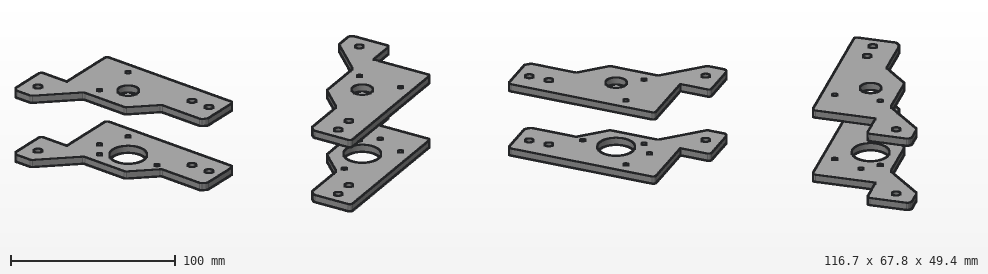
import cadquery as cq

LENGTH = 116.7
WIDTH = 67.8
HEIGHT = 49.4
THICKNESS = 5.0

FOOT_TOP = 27.8
BODY_LEFT = 19.8
FOOT_BOTTOM_END = 13.7
BELLY = 22.9
BELLY_END = 68.2
ARM_BOTTOM = 38.6
FOOT_CHAMFER = 2.0
ARM_CHAMFER = 3.0
CORNER_RADIUS = 2.0

MOUNT_DIAMETER = 5.3
FOOT_HOLE = (9.8, 12.0)
ARM_HOLE_Y = 54.0
ARM_HOLES = [(95.5, ARM_HOLE_Y), (108.5, ARM_HOLE_Y)]

SCREW_DIAMETER = 3.2
SCREW_X = 42.4
SCREW_HOLES = [(SCREW_X, 31.0), (SCREW_X, 59.8)]

BORE_CENTRE = (56.6, 41.1)
UPPER_BORE_DIAMETER = 13.1
LOWER_BORE_DIAMETER = 23.0

FLANK_OFFSET = 22.0
FLANK_HOLES = [(BORE_CENTRE[0] + side * FLANK_OFFSET, BORE_CENTRE[1]) for side in (-1, 1)]

PICK_MARGIN = 1.2


def blank_plate():
    """Stepped plate with 45 degree slopes and rounded corners."""
    slope_1_end = FOOT_BOTTOM_END + BELLY
    slope_2_end = BELLY_END + ARM_BOTTOM - BELLY
    outline = [
        (FOOT_CHAMFER, 0),
        (FOOT_BOTTOM_END, 0),
        (slope_1_end, BELLY),
        (BELLY_END, BELLY),
        (slope_2_end, ARM_BOTTOM),
        (LENGTH - ARM_CHAMFER, ARM_BOTTOM),
        (LENGTH, ARM_BOTTOM + ARM_CHAMFER),
        (LENGTH, WIDTH),
        (BODY_LEFT, WIDTH),
        (BODY_LEFT, FOOT_TOP),
        (0, FOOT_TOP),
        (0, FOOT_CHAMFER),
    ]
    plate = cq.Workplane("XY").polyline(outline).close().extrude(THICKNESS)
    inner_corner = cq.selectors.BoxSelector(
        (BODY_LEFT - PICK_MARGIN, FOOT_TOP - PICK_MARGIN, -PICK_MARGIN),
        (BODY_LEFT + PICK_MARGIN, FOOT_TOP + PICK_MARGIN, THICKNESS + PICK_MARGIN),
    )
    vertical = cq.selectors.ParallelDirSelector(cq.Vector(0, 0, 1))
    rounded = cq.selectors.SubtractSelector(vertical, inner_corner)
    return plate.edges(rounded).fillet(CORNER_RADIUS)


def drill(plate, points, diameter):
    """Cut round through holes at the given points."""
    cutters = cq.Workplane("XY").pushPoints(points).circle(diameter / 2).extrude(THICKNESS)
    return plate.cut(cutters)


def make_plate(bore_diameter):
    """Plate with mounting holes, shared screw holes and a central bore."""
    plate = drill(blank_plate(), [FOOT_HOLE] + ARM_HOLES, MOUNT_DIAMETER)
    plate = drill(plate, SCREW_HOLES, SCREW_DIAMETER)
    return drill(plate, [BORE_CENTRE], bore_diameter)


lower_plate = drill(make_plate(LOWER_BORE_DIAMETER), FLANK_HOLES, SCREW_DIAMETER)

upper_plate = make_plate(UPPER_BORE_DIAMETER).translate((0, 0, HEIGHT - THICKNESS))

result = cq.Compound.makeCompound([lower_plate.val(), upper_plate.val()])